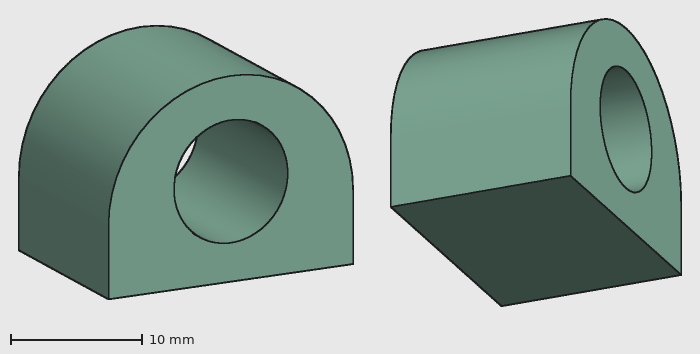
import cadquery as cq

length = 15.0
width = 21.0
height = 16.38
bore_diameter = 9.76
bore_height = 7.98

top_radius = width / 2
wall_height = height - top_radius

block = (
    cq.Workplane("YZ")
    .moveTo(-top_radius, 0)
    .lineTo(top_radius, 0)
    .lineTo(top_radius, wall_height)
    .threePointArc((0, height), (-top_radius, wall_height))
    .close()
    .extrude(length)
)

bore = (
    cq.Workplane("YZ")
    .center(0, bore_height)
    .circle(bore_diameter / 2)
    .extrude(length)
)

result = block.cut(bore)